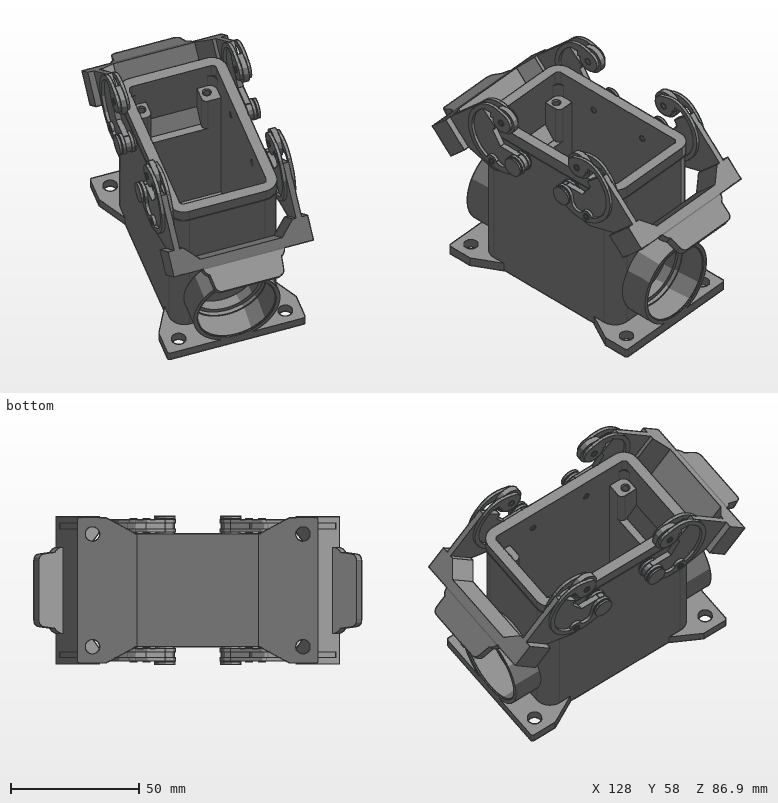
import cadquery as cq
import math


BODY_LENGTH = 70.8
BODY_WIDTH = 43.8
BODY_BOTTOM = 0.4
BODY_TOP = 67.6
RIM_TOP = 73.0
RIM_OVERHANG = 0.3
CORNER_RADIUS = 6.3
CAVITY_LENGTH = 63.0
CAVITY_WIDTH = 35.8
CAVITY_RADIUS = 3.0
MOUTH_RADIUS = 1.65
MOUTH_BOTTOM = 67.0
FLOOR_TOP = 4.0

LEDGE_X = 24.0
LEDGE_TOP = 44.7
RAMP_X = 27.0
RAMP_TOP = 50.3
POST_TOP = 61.3
POST_INNER_Y = 10.5
POST_CORNER_RADIUS = 2.0
POST_HOLE = (28.4, 13.5)
POST_HOLE_RADIUS = 1.3
POST_HOLE_MOUTH_RADIUS = 1.75
POST_HOLE_DEPTH = 10.0
DRILL_POINT_DEPTH = 0.75

PORT_END_X = 47.0
PORT_Z = 20.4
PORT_RADIUS = 17.8
PORT_BORE_RADIUS = 16.0
PORT_MOUTH_CHAMFER = 0.3
PORT_SHOULDER_X = 36.0
PORT_SEAT_RADIUS = 15.6
PORT_SEAT_X = 34.2
PORT_HOLE_RADIUS = 14.1
PORT_HOLE_END_X = 29.7

FOOT_END_X = 47.0
FOOT_HALF_WIDTH = 28.4
FOOT_SHOULDER_X = 35.8
FOOT_INNER_X = 23.8
FOOT_THICKNESS = 3.9
FOOT_CORNER_RADIUS = 1.0
FOOT_HOLE = (41.1, 22.0)
FOOT_HOLE_RADIUS = 2.8

COVER_INNER_Y = 22.7
PLATE_INNER_Y = 24.0
PLATE_OUTER_Y = 26.3
COVER_OUTER_Y = 27.6
RIVET_PROTRUSION = 0.35
KNOB_END_Y = 29.0
PIVOT_RECESS = 0.5

LEVER_TOP = 86.94
RING_X = -21.9
RING_Z = 71.9
RING_RADIUS = 15.5
RING_INNER_RADIUS = 13.6
RING_END_X = -12.4
RING_INNER_END_ANGLE = -110
HOOK_BEND_RADIUS = 10.3
HOOK_UNDERSIDE_Z = 83.4
HEAD_X = -19.95
HEAD_RADIUS = 5.6
HEAD_Z = LEVER_TOP - HEAD_RADIUS
COVER_HEAD_RADIUS = 4.5
COVER_HEAD_JOIN_ANGLE = 20
RIVET = (-25.0, 59.1)
RIVET_RADIUS = 1.35
RIVET_BOSS_RADIUS = 2.6
DIP_START = (-22.9, 60.4)
DIP_BOTTOM = (-20.2, 59.1)
DIP_END = (-17.3, 61.9)
RIVET_HOLE_RADIUS = 1.0
PIVOT = (-12.8, 63.5)
PIVOT_RADIUS = 4.15
KNOB_RADIUS = 4.0
PIVOT_WAIST_RADIUS = 3.7
PIVOT_RECESS_RADIUS = 1.3

PLATE_PEAK_X = -32.6
PLATE_SHOULDER = (-24.5, 76.0)
PLATE_NECK = (-25.65, 73.6)
PLATE_SILL_X = -21.6
BULGE_START = (-20.2, 56.3)
BULGE_MIDDLE = (-23.7, 54.2)
BULGE_END = (-27.5, 54.5)

BAR_CORNER_X = -55.35
BAR_HALF_WIDTH = 28.8
BAR_LENGTH = 10.1
BAR_DEPTH = 13.9
NOTCH_DEPTH = 6.0
NOTCH_OPEN_HALF_WIDTH = 22.6
NOTCH_FLOOR_HALF_WIDTH = 16.8
SLOT_HEIGHT = 10.0
SLOT_DEPTH = 0.4
TAB_TIP_X = -63.995
TAB_ANGLE = math.radians(33)
TAB_THICKNESS = 3.7
TAB_ROOT_OVERLAP = 2.0
TAB_FLARE_MIDDLE = (0.8, 1.8)
TAB_FLARE_END = (2.0, 2.9)
TAB_TIP_HALF_WIDTH = 13.9
TAB_TIP_RADIUS = 2.6

DIAGONAL = math.sqrt(0.5)
BACK_OFFSET = RING_Z - RING_X + RING_RADIUS / DIAGONAL


def on_back(x):
    """Point of the lever's straight back edge at the given X."""
    return (x, x + BACK_OFFSET)


def on_circle(centre, radius, degrees):
    angle = math.radians(degrees)
    return (centre[0] + radius * math.cos(angle), centre[1] + radius * math.sin(angle))


def box_between(x0, x1, y0, y1, z0, z1):
    return cq.Workplane("XY").box(x1 - x0, y1 - y0, z1 - z0, centered=False).translate((x0, y0, z0))


def lever_layer(y_near):
    """Sketch plane on the -Y side of the part; extruding leads away from the housing."""
    return cq.Workplane("XZ", origin=(0, -y_near, 0))


def lever_disc(centre, radius, y_near, y_far):
    return lever_layer(y_near).center(*centre).circle(radius).extrude(y_far - y_near)


def rounded_block(length, width, radius, z0, z1):
    block = box_between(-length / 2, length / 2, -width / 2, width / 2, z0, z1)
    return block.edges("|Z").fillet(radius)


def make_shell():
    body = rounded_block(BODY_LENGTH, BODY_WIDTH, CORNER_RADIUS, BODY_BOTTOM, BODY_TOP)
    rim_length = BODY_LENGTH + 2 * RIM_OVERHANG
    rim_width = BODY_WIDTH + 2 * RIM_OVERHANG
    rim = rounded_block(rim_length, rim_width, CORNER_RADIUS, BODY_TOP, RIM_TOP)
    cavity = rounded_block(CAVITY_LENGTH, CAVITY_WIDTH, CAVITY_RADIUS, FLOOR_TOP, MOUTH_BOTTOM)
    mouth = rounded_block(CAVITY_LENGTH, CAVITY_WIDTH, MOUTH_RADIUS, MOUTH_BOTTOM, RIM_TOP)
    return body.union(rim), cavity.union(mouth)


def make_post_hole():
    """Screw hole with a countersunk mouth and a drill point, its mouth at the origin."""
    mouth_depth = POST_HOLE_MOUTH_RADIUS - POST_HOLE_RADIUS
    half_section = [
        (0, 0), (POST_HOLE_MOUTH_RADIUS, 0), (POST_HOLE_RADIUS, -mouth_depth),
        (POST_HOLE_RADIUS, -POST_HOLE_DEPTH), (0, -POST_HOLE_DEPTH - DRILL_POINT_DEPTH),
    ]
    return cq.Workplane("XZ").polyline(half_section).close().revolve(360, (0, 0), (0, 1))


def make_end_wall():
    """Thick wall, ramp and two screw posts at the -X end of the cavity."""
    wall_x = -(BODY_LENGTH + CAVITY_LENGTH) / 4
    half_width = CAVITY_WIDTH / 2
    profile = [
        (wall_x, BODY_BOTTOM), (-LEDGE_X, BODY_BOTTOM), (-LEDGE_X, LEDGE_TOP), (-RAMP_X, LEDGE_TOP),
        (-CAVITY_LENGTH / 2, RAMP_TOP), (wall_x, RAMP_TOP),
    ]
    wall = cq.Workplane("XZ").polyline(profile).close().extrude(half_width, both=True)
    for side in (-1, 1):
        y0, y1 = sorted((side * POST_INNER_Y, side * half_width))
        post = box_between(-CAVITY_LENGTH / 2, -LEDGE_X, y0, y1, LEDGE_TOP, POST_TOP)
        inner_edge = post.edges("|Z").edges(">X").edges("<Y" if side > 0 else ">Y")
        post = inner_edge.fillet(POST_CORNER_RADIUS)
        hole = make_post_hole().translate((-POST_HOLE[0], side * POST_HOLE[1], POST_TOP))
        wall = wall.union(post).cut(hole)
    return wall


def along_x(radius, x0, x1):
    """Cylinder on the port axis."""
    return cq.Workplane("YZ", origin=(x0, 0, PORT_Z)).circle(radius).extrude(x1 - x0)


def make_foot():
    """Foot at the -X end, trimmed later by the cavity."""
    half_body = BODY_WIDTH / 2
    outline = [
        (-FOOT_INNER_X, -half_body), (-FOOT_SHOULDER_X, -FOOT_HALF_WIDTH),
        (-FOOT_END_X, -FOOT_HALF_WIDTH), (-FOOT_END_X, FOOT_HALF_WIDTH),
        (-FOOT_SHOULDER_X, FOOT_HALF_WIDTH), (-FOOT_INNER_X, half_body),
    ]
    foot = cq.Workplane("XY").polyline(outline).close().extrude(FOOT_THICKNESS)
    foot = foot.edges("|Z and <X").fillet(FOOT_CORNER_RADIUS)
    hole_centres = [(-FOOT_HOLE[0], side * FOOT_HOLE[1]) for side in (-1, 1)]
    holes = cq.Workplane("XY").pushPoints(hole_centres).circle(FOOT_HOLE_RADIUS).extrude(FOOT_THICKNESS)
    return foot.cut(holes)


def both_ends(solid):
    return solid.union(solid.mirror("YZ"))


def make_housing():
    shell, cavity = make_shell()
    housing = shell.union(both_ends(make_foot()))
    housing = housing.union(both_ends(along_x(PORT_RADIUS, -PORT_END_X, -PORT_SEAT_X)))
    housing = housing.cut(cavity).union(both_ends(make_end_wall()))
    bore = along_x(PORT_BORE_RADIUS, -PORT_END_X, -PORT_SHOULDER_X)
    bore = bore.union(along_x(PORT_SEAT_RADIUS, -PORT_SHOULDER_X, -PORT_SEAT_X))
    bore = bore.union(along_x(PORT_HOLE_RADIUS, -PORT_SEAT_X, -PORT_HOLE_END_X))
    mouth_radius = PORT_BORE_RADIUS + PORT_MOUTH_CHAMFER
    bore = bore.union(along_x(mouth_radius, -PORT_END_X, -PORT_END_X + 2 * PORT_MOUTH_CHAMFER))
    housing = housing.cut(both_ends(bore))
    wall_y = CAVITY_WIDTH / 2
    recess = lever_disc(PIVOT, PIVOT_RECESS_RADIUS, wall_y, wall_y + PIVOT_RECESS)
    return housing.cut(both_ends(recess.union(recess.mirror("XZ"))))


def make_cover(y_near, y_far):
    """One hook-shaped cover: open ring, hook, round head, rivet boss and pivot eye."""
    ring = (RING_X, RING_Z)
    end_angle = -math.degrees(math.acos((RING_END_X - RING_X) / RING_RADIUS))
    head_join = on_circle((HEAD_X, HEAD_Z), COVER_HEAD_RADIUS, COVER_HEAD_JOIN_ANGLE)
    bend_rise = HOOK_BEND_RADIUS * (1 - DIAGONAL)
    bend_start = on_back(LEVER_TOP - bend_rise - BACK_OFFSET)
    bend_centre = (bend_start[0] + HOOK_BEND_RADIUS * DIAGONAL, LEVER_TOP - HOOK_BEND_RADIUS)
    underside_angle = 180 - math.degrees(math.asin((HOOK_UNDERSIDE_Z - RING_Z) / RING_INNER_RADIUS))
    cover = (
        lever_layer(y_near)
        .moveTo(*on_circle(ring, RING_RADIUS, end_angle))
        .threePointArc(on_circle(ring, RING_RADIUS, -150), on_circle(ring, RING_RADIUS, 135))
        .lineTo(*bend_start)
        .threePointArc(on_circle(bend_centre, HOOK_BEND_RADIUS, 112.5), (bend_centre[0], LEVER_TOP))
        .tangentArcPoint(head_join, relative=False)
        .lineTo(HEAD_X, HEAD_Z)
        .lineTo(HEAD_X - HEAD_RADIUS, HEAD_Z)
        .lineTo(HEAD_X - HEAD_RADIUS, HOOK_UNDERSIDE_Z)
        .lineTo(*on_circle(ring, RING_INNER_RADIUS, underside_angle))
        .threePointArc(on_circle(ring, RING_INNER_RADIUS, 180),
                       on_circle(ring, RING_INNER_RADIUS, RING_INNER_END_ANGLE))
        .lineTo(*DIP_START)
        .threePointArc(DIP_BOTTOM, DIP_END)
        .lineTo(PIVOT[0] - PIVOT_RADIUS, PIVOT[1])
        .lineTo(*PIVOT)
        .close()
        .extrude(y_far - y_near)
    )
    cover = cover.union(lever_disc((HEAD_X, HEAD_Z), COVER_HEAD_RADIUS, y_near, y_far))
    cover = cover.union(lever_disc(RIVET, RIVET_BOSS_RADIUS, y_near, y_far))
    return cover.union(lever_disc(PIVOT, PIVOT_RADIUS, y_near, y_far))


def make_plate():
    """Flat middle layer that joins the covers to the crossbar."""
    bar_start_x = BAR_CORNER_X + BAR_LENGTH * DIAGONAL
    heel_x = bar_start_x + BAR_DEPTH * DIAGONAL
    heel_z = bar_start_x + BACK_OFFSET - BAR_DEPTH * DIAGONAL
    thickness = PLATE_OUTER_Y - PLATE_INNER_Y
    return (
        lever_layer(PLATE_INNER_Y)
        .moveTo(*on_back(bar_start_x))
        .lineTo(*on_back(PLATE_PEAK_X))
        .lineTo(*PLATE_SHOULDER)
        .lineTo(*PLATE_NECK)
        .lineTo(PLATE_SILL_X, BODY_TOP)
        .lineTo(PIVOT[0], BODY_TOP)
        .lineTo(PIVOT[0], PIVOT[1] - PIVOT_WAIST_RADIUS)
        .lineTo(*BULGE_START)
        .threePointArc(BULGE_MIDDLE, BULGE_END)
        .lineTo(heel_x, heel_z)
        .close()
        .extrude(thickness)
    )


def make_arm():
    """Complete lever arm on the -Y side with its rivets and pivot."""
    roller = lever_disc((HEAD_X, HEAD_Z), HEAD_RADIUS, PLATE_INNER_Y, PLATE_OUTER_Y)
    arm = make_plate().union(roller)
    for y_near, y_far in ((COVER_INNER_Y, PLATE_INNER_Y), (PLATE_OUTER_Y, COVER_OUTER_Y)):
        arm = arm.union(make_cover(y_near, y_far))
    rivet_start = COVER_INNER_Y - RIVET_PROTRUSION
    rivet_end = COVER_OUTER_Y + RIVET_PROTRUSION
    for centre in (RIVET, (HEAD_X, HEAD_Z)):
        arm = arm.union(lever_disc(centre, RIVET_RADIUS, rivet_start, rivet_end))
        arm = arm.cut(lever_disc(centre, RIVET_HOLE_RADIUS, COVER_OUTER_Y, rivet_end))
    arm = arm.union(lever_disc(PIVOT, PIVOT_WAIST_RADIUS, BODY_WIDTH / 2, KNOB_END_Y))
    knob_start = COVER_OUTER_Y + RIVET_PROTRUSION
    return arm.union(lever_disc(PIVOT, KNOB_RADIUS, knob_start, KNOB_END_Y))


def make_crossbar():
    """Bar across the two arms, with a tapered notch on the housing side."""
    top_x, top_z = on_back(BAR_CORNER_X + BAR_LENGTH * DIAGONAL)
    face = cq.Plane(origin=(top_x, 0, top_z), xDir=(0, 1, 0), normal=(-1, 0, 1))
    bar = (
        cq.Workplane(face)
        .center(0, BAR_LENGTH / 2)
        .rect(2 * BAR_HALF_WIDTH, BAR_LENGTH)
        .extrude(-BAR_DEPTH)
    )
    notch = [
        (-NOTCH_OPEN_HALF_WIDTH, 0), (-NOTCH_FLOOR_HALF_WIDTH, NOTCH_DEPTH),
        (NOTCH_FLOOR_HALF_WIDTH, NOTCH_DEPTH), (NOTCH_OPEN_HALF_WIDTH, 0),
    ]
    bar = bar.cut(cq.Workplane(face).polyline(notch).close().extrude(-BAR_DEPTH))
    corner_x, corner_z = on_back(BAR_CORNER_X)
    end_face = cq.Plane(origin=(corner_x, 0, corner_z), xDir=(0, 1, 0), normal=(-1, 0, -1))
    slot_y = (PLATE_INNER_Y + PLATE_OUTER_Y) / 2
    slot_centre = BAR_DEPTH / 2
    slots = (
        cq.Workplane(end_face)
        .pushPoints([(-slot_y, slot_centre), (slot_y, slot_centre)])
        .rect(PLATE_OUTER_Y - PLATE_INNER_Y, SLOT_HEIGHT)
        .extrude(-SLOT_DEPTH)
    )
    return bar.cut(slots)


def make_tab():
    """Finger tab with flared root and rounded tip corners."""
    corner_x, corner_z = on_back(BAR_CORNER_X)
    slope = (math.cos(TAB_ANGLE), math.sin(TAB_ANGLE))
    length = (BAR_CORNER_X - TAB_TIP_X) / slope[0]
    top_face = cq.Plane(origin=(corner_x, 0, corner_z), xDir=(0, 1, 0), normal=(-slope[1], 0, slope[0]))
    root = NOTCH_FLOOR_HALF_WIDTH
    middle_inset, middle_reach = TAB_FLARE_MIDDLE
    end_inset, end_reach = TAB_FLARE_END
    upright_edges = cq.selectors.ParallelDirSelector(top_face.zDir)
    tip_corners = upright_edges & cq.selectors.DirectionMinMaxSelector(top_face.yDir, True)
    return (
        cq.Workplane(top_face)
        .moveTo(-root, -TAB_ROOT_OVERLAP)
        .lineTo(-root, 0)
        .threePointArc((middle_inset - root, middle_reach), (end_inset - root, end_reach))
        .lineTo(-TAB_TIP_HALF_WIDTH, length)
        .lineTo(TAB_TIP_HALF_WIDTH, length)
        .lineTo(root - end_inset, end_reach)
        .threePointArc((root - middle_inset, middle_reach), (root, 0))
        .lineTo(root, -TAB_ROOT_OVERLAP)
        .close()
        .extrude(-TAB_THICKNESS)
        .edges(tip_corners)
        .fillet(TAB_TIP_RADIUS)
    )


def make_lever():
    """Whole lever at the -X end."""
    arm = make_arm()
    return make_crossbar().union(make_tab()).union(arm).union(arm.mirror("XZ"))


result = make_housing().union(both_ends(make_lever()))